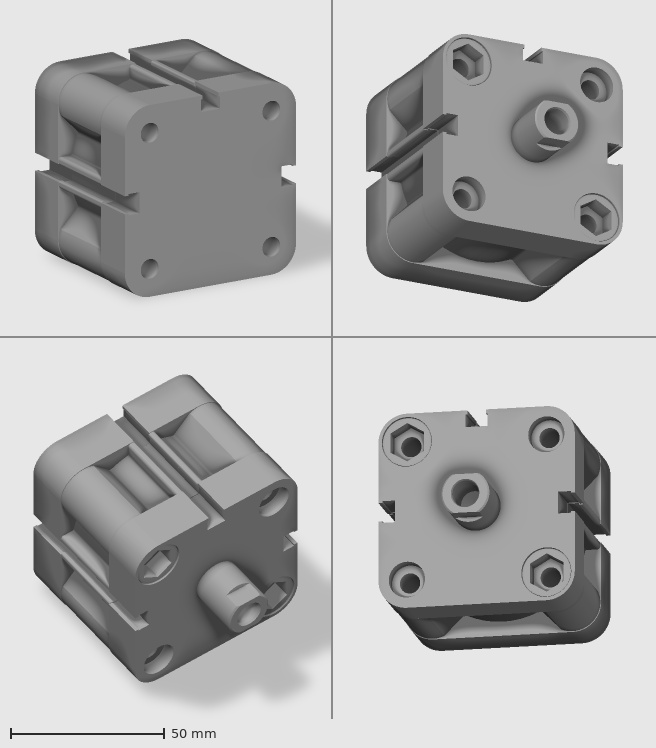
import cadquery as cq
import math

total_length = 74.5
cap_side = 65.5
rod_projection = 18.2
front_cap_length = 14.5
barrel_length = 26.9
rear_cap_length = total_length - rod_projection - front_cap_length - barrel_length

screw_spacing = 46.5
screw_offset = screw_spacing / 2
cap_corner_radius = (cap_side - screw_spacing) / 2
through_hole_diameter = 6.8
counterbore_diameter = 12.1
counterbore_depth = 5.0
socket_across_flats = 11.2
socket_depth = 6.5
head_recess = 0.5
head_recess_diameter = 16.7
groove_width = 0.275
groove_depth = 0.75

barrel_inset = 0.25
barrel_half = cap_side / 2 - barrel_inset
core_radius = 28.0
post_radius = barrel_half - screw_offset
post_width = 17.3
post_root_radius = 1.1
rail_width = 10.7
rail_edge_radius = 1.1
rail_root_radius = 0.7
lip_edge_radius = 0.6

cap_slot_opening = 6.2
cap_slot_width = 7.3
cap_slot_depth = 5.6
cap_lip_thickness = 1.35
slot_clearance = 0.275
barrel_slot_opening = cap_slot_opening - 2 * slot_clearance
barrel_slot_width = cap_slot_width - 2 * slot_clearance
barrel_slot_floor = cap_side / 2 - cap_slot_depth + slot_clearance
barrel_slot_ceiling = cap_side / 2 - cap_lip_thickness - slot_clearance

rod_diameter = 16.0
rod_chamfer = 0.5
flats_across = 13.05
flats_length = 6.25
flats_end_run = 0.3
bore_diameter = 8.95
bore_depth = 14.9
bore_chamfer_width = 0.3
bore_chamfer_length = 0.8
drill_point_angle = 118.0

rod_tip_x = 0.0
front_cap_x = rod_tip_x + rod_projection
barrel_x = front_cap_x + front_cap_length
rear_cap_x = barrel_x + barrel_length

match_tolerance = 0.04
slotted_sides = (0, 90, 270)
corners = [(y * screw_offset, z * screw_offset) for y in (-1, 1) for z in (-1, 1)]
screw_corners = [(screw_offset, screw_offset), (-screw_offset, -screw_offset)]
counterbore_corners = [(screw_offset, -screw_offset), (-screw_offset, screw_offset)]


def section_plane(x):
    """Workplane across the cylinder axis: local x = Y, local y = Z, normal = +X."""
    return cq.Workplane("YZ", origin=(x, 0, 0))


def bar(x, length, width, bottom, top):
    """Bar along X, centred on Y = 0, between two heights."""
    return section_plane(x).center(0, (bottom + top) / 2).rect(width, top - bottom).extrude(length)


def on_slotted_sides(shape):
    """Copies of a +Z side shape on the +Z, +Y and -Y sides."""
    return [shape.rotate((0, 0, 0), (1, 0, 0), angle) for angle in slotted_sides]


def t_slot(x, length, opening, width, floor, ceiling):
    """Cutter for the T-slot of the +Z side."""
    mouth = bar(x, length, opening, floor, cap_side)
    return mouth.union(bar(x, length, width, floor, ceiling))


def make_plain_cap(x, length):
    """Rounded square plate with a T-slot on three sides and four through holes."""
    cap = section_plane(x).rect(cap_side, cap_side).extrude(length)
    cap = cap.edges("|X").fillet(cap_corner_radius)
    slot = t_slot(
        x, length, cap_slot_opening, cap_slot_width,
        cap_side / 2 - cap_slot_depth, cap_side / 2 - cap_lip_thickness,
    )
    for cutter in on_slotted_sides(slot):
        cap = cap.cut(cutter)
    holes = section_plane(x).pushPoints(corners).circle(through_hole_diameter / 2).extrude(length)
    return cap.cut(holes)


def make_front_cap():
    """Cap with rod hole, two counterbores and two socket screw heads."""
    front = section_plane(front_cap_x)
    cap = make_plain_cap(front_cap_x, front_cap_length)
    cap = cap.cut(front.circle(rod_diameter / 2).extrude(front_cap_length))

    counterbores = front.pushPoints(counterbore_corners).circle(counterbore_diameter / 2)
    cap = cap.cut(counterbores.extrude(counterbore_depth))

    head_recess_radius = head_recess_diameter / 2
    recesses = front.pushPoints(screw_corners).circle(head_recess_radius).extrude(head_recess)
    cap = cap.cut(recesses)

    head_face = section_plane(front_cap_x + head_recess)
    grooves = (
        head_face.pushPoints(screw_corners).circle(head_recess_radius)
        .pushPoints(screw_corners).circle(head_recess_radius - groove_width)
        .extrude(groove_depth)
    )
    cap = cap.cut(grooves)

    across_corners = socket_across_flats / math.cos(math.radians(30))
    for y, z in screw_corners:
        socket = head_face.center(y, z).transformed(rotate=(0, 0, 90)).polygon(6, across_corners)
        cap = cap.cut(socket.extrude(socket_depth))
    return cap


def make_rail():
    """Rail that carries the barrel T-slot of the +Z side, with its outer edges rounded."""
    rail = bar(barrel_x, barrel_length, rail_width, 0, barrel_half)
    return rail.edges("|X and >Z").fillet(rail_edge_radius)


def make_post_pair(angle):
    """Two opposite corner posts: round outer ends with flat flanks, running through the axis."""
    post_distance = 2 * screw_offset * math.sqrt(2)
    overall = post_distance + 2 * post_radius
    rounded = section_plane(barrel_x).slot2D(overall, 2 * post_radius).extrude(barrel_length)
    flanks = section_plane(barrel_x).rect(overall, post_width).extrude(barrel_length)
    return rounded.intersect(flanks).rotate((0, 0, 0), (1, 0, 0), angle)


def edges_near(barrel, y, z):
    """Lengthwise edges at the eight mirrored places of (y, z) around the axis."""
    places = [(a * s, b * t) for a, b in ((y, z), (z, y)) for s in (-1, 1) for t in (-1, 1)]

    def is_near(edge):
        centre = edge.Center()
        return any(math.hypot(centre.y - a, centre.z - b) < match_tolerance for a, b in places)

    return barrel.edges("|X").filter(is_near)


def make_barrel():
    """Round core with four corner posts and three slotted rails."""
    barrel = section_plane(barrel_x).circle(core_radius).extrude(barrel_length)
    for angle in (45, 135):
        barrel = barrel.union(make_post_pair(angle))
    for rail in on_slotted_sides(make_rail()):
        barrel = barrel.union(rail)

    flank_angle = math.radians(45) - math.asin(post_width / 2 / core_radius)
    post_root = (core_radius * math.sin(flank_angle), core_radius * math.cos(flank_angle))
    rail_root = (rail_width / 2, math.sqrt(core_radius**2 - (rail_width / 2) ** 2))
    barrel = edges_near(barrel, *post_root).fillet(post_root_radius)
    barrel = edges_near(barrel, *rail_root).fillet(rail_root_radius)

    slot = t_slot(
        barrel_x, barrel_length, barrel_slot_opening, barrel_slot_width,
        barrel_slot_floor, barrel_slot_ceiling,
    )
    for cutter in on_slotted_sides(slot):
        barrel = barrel.cut(cutter)
    barrel = edges_near(barrel, barrel_slot_opening / 2, barrel_half).fillet(lip_edge_radius)

    holes = section_plane(barrel_x).pushPoints(corners).circle(through_hole_diameter / 2)
    return barrel.cut(holes.extrude(barrel_length))


def make_rod():
    """Rod through the front cap, with two wrench flats and a drilled bore at its tip."""
    rod = section_plane(rod_tip_x).circle(rod_diameter / 2).extrude(barrel_x - rod_tip_x)
    rod = rod.faces("<X").chamfer(rod_chamfer)

    half_flats = flats_across / 2
    flat_depth = rod_diameter / 2 - half_flats
    flat = (
        cq.Workplane("XZ")
        .moveTo(rod_tip_x, half_flats)
        .lineTo(rod_tip_x + flats_length, half_flats)
        .lineTo(rod_tip_x + flats_length + flats_end_run, half_flats + flat_depth)
        .lineTo(rod_tip_x, half_flats + flat_depth)
        .close()
        .extrude(rod_diameter / 2, both=True)
    )
    rod = rod.cut(flat).cut(flat.mirror("XY"))

    bore_radius = bore_diameter / 2
    point_depth = bore_radius / math.tan(math.radians(drill_point_angle / 2))
    bore = (
        cq.Workplane("XZ")
        .moveTo(rod_tip_x, 0)
        .lineTo(rod_tip_x, bore_radius + bore_chamfer_width)
        .lineTo(rod_tip_x + bore_chamfer_length, bore_radius)
        .lineTo(rod_tip_x + bore_depth, bore_radius)
        .lineTo(rod_tip_x + bore_depth + point_depth, 0)
        .close()
        .revolve(360, (0, 0, 0), (1, 0, 0))
    )
    return rod.cut(bore)


front_cap = make_front_cap()
barrel = make_barrel()
rear_cap = make_plain_cap(rear_cap_x, rear_cap_length)
rod = make_rod()

result = cq.Compound.makeCompound([front_cap.val(), barrel.val(), rear_cap.val(), rod.val()])